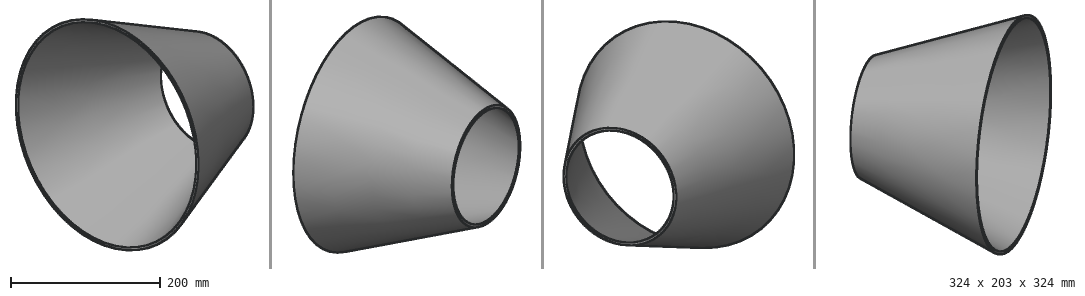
import cadquery as cq

large_diameter = 324.0
small_diameter = 168.0
length = 203.0
wall = 4.2

large_radius = large_diameter / 2
small_radius = small_diameter / 2

wall_section = [
    (large_radius - wall, 0),
    (large_radius, 0),
    (small_radius, length),
    (small_radius - wall, length),
]

result = (
    cq.Workplane("XY")
    .polyline(wall_section)
    .close()
    .revolve(360, (0, 0), (0, 1))
)